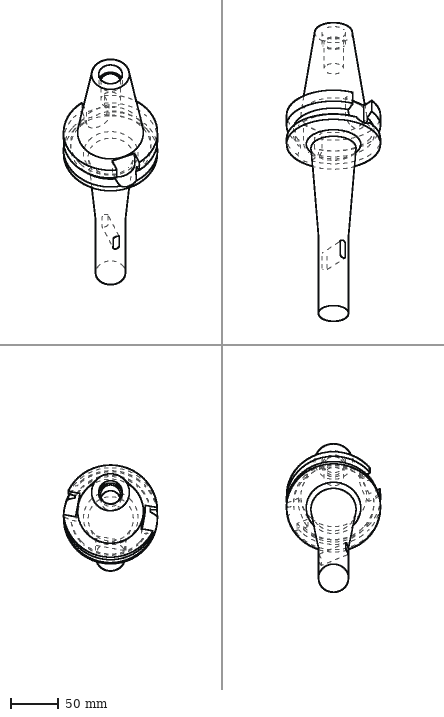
import cadquery as cq
import math


GAUGE_RADIUS = 69.85 / 2
SHANK_LENGTH = 101.8
SHANK_TAPER = 7 / 24
SHANK_TIP_RADIUS = GAUGE_RADIUS - SHANK_LENGTH * SHANK_TAPER / 2

PILOT_RADIUS = 12.5
PILOT_DEPTH = 13.0
THREAD_HOLE_RADIUS = 10.5
THREAD_HOLE_DEPTH = 45.0

FLANGE_RADIUS = 50.0
FLANGE_TOP_Z = -1.5
FLANGE_BOTTOM_Z = -38.0
GROOVE_CENTER_Z = -23.2
GROOVE_FLOOR_RADIUS = 42.7
GROOVE_FLOOR_WIDTH = 7.5
GROOVE_FLANK_ANGLE = 30.0

KEYWAY_WIDTH = 25.7
KEYWAY_FLOOR_X = 35.4
KEYWAY_BOTTOM_Z = -34.8

NOSE_BOTTOM_Z = -250.0
NOSE_RADIUS = 16.0
NOSE_CONE_BOTTOM_Z = -155.0
NOSE_CONE_TOP_RADIUS = 24.0
NOSE_COLLAR_SIZE = 5.0

DRIFT_SLOT_WIDTH = 7.2
DRIFT_SLOT_HEIGHT = 22.0
DRIFT_SLOT_CENTER_Z = -177.0


def make_body():
    """Revolved outside shape of shank, flange and nose."""
    flank_height = (FLANGE_RADIUS - GROOVE_FLOOR_RADIUS) * math.tan(math.radians(GROOVE_FLANK_ANGLE))
    half_floor = GROOVE_FLOOR_WIDTH / 2
    half_mouth = half_floor + flank_height
    profile = [
        (0, SHANK_LENGTH),
        (SHANK_TIP_RADIUS, SHANK_LENGTH),
        (GAUGE_RADIUS, 0),
        (GAUGE_RADIUS, FLANGE_TOP_Z),
        (FLANGE_RADIUS, FLANGE_TOP_Z),
        (FLANGE_RADIUS, GROOVE_CENTER_Z + half_mouth),
        (GROOVE_FLOOR_RADIUS, GROOVE_CENTER_Z + half_floor),
        (GROOVE_FLOOR_RADIUS, GROOVE_CENTER_Z - half_floor),
        (FLANGE_RADIUS, GROOVE_CENTER_Z - half_mouth),
        (FLANGE_RADIUS, FLANGE_BOTTOM_Z),
        (NOSE_CONE_TOP_RADIUS + NOSE_COLLAR_SIZE, FLANGE_BOTTOM_Z),
        (NOSE_CONE_TOP_RADIUS, FLANGE_BOTTOM_Z - NOSE_COLLAR_SIZE),
        (NOSE_RADIUS, NOSE_CONE_BOTTOM_Z),
        (NOSE_RADIUS, NOSE_BOTTOM_Z),
        (0, NOSE_BOTTOM_Z),
    ]
    return cq.Workplane("XZ").polyline(profile).close().revolve(360, (0, 0, 0), (0, 1, 0))


def make_pull_stud_bore():
    """Pilot bore followed by the narrower thread hole, open at the shank tip."""
    tip = cq.Workplane("XY").workplane(offset=SHANK_LENGTH)
    pilot = tip.circle(PILOT_RADIUS).extrude(-PILOT_DEPTH)
    thread_hole = tip.circle(THREAD_HOLE_RADIUS).extrude(-THREAD_HOLE_DEPTH)
    return pilot.union(thread_hole)


def make_keyway(side):
    """Round-bottomed keyway cutter on the +X (side = 1) or -X (side = -1) flank of the flange."""
    half_width = KEYWAY_WIDTH / 2
    round_center_z = KEYWAY_BOTTOM_Z + half_width
    depth = FLANGE_RADIUS - KEYWAY_FLOOR_X
    return (
        cq.Workplane("YZ")
        .workplane(offset=side * KEYWAY_FLOOR_X)
        .moveTo(-half_width, FLANGE_TOP_Z)
        .lineTo(-half_width, round_center_z)
        .threePointArc((0, KEYWAY_BOTTOM_Z), (half_width, round_center_z))
        .lineTo(half_width, FLANGE_TOP_Z)
        .close()
        .extrude(side * depth)
    )


def make_drift_slot():
    """Upright round-ended slot cutter running through the nose along X."""
    return (
        cq.Workplane("YZ")
        .center(0, DRIFT_SLOT_CENTER_Z)
        .slot2D(DRIFT_SLOT_HEIGHT, DRIFT_SLOT_WIDTH, 90)
        .extrude(NOSE_RADIUS, both=True)
    )


result = make_body().cut(make_pull_stud_bore()).cut(make_drift_slot())
for keyway_side in (-1, 1):
    result = result.cut(make_keyway(keyway_side))